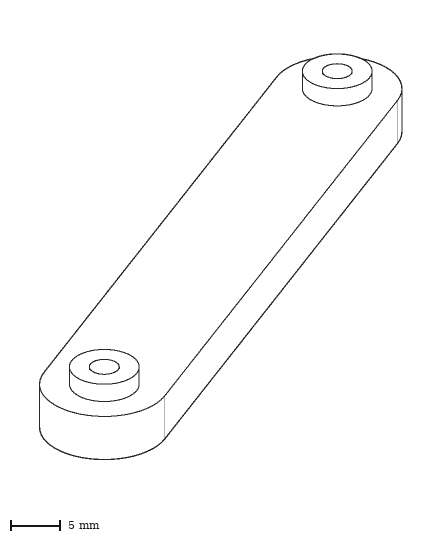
import cadquery as cq

length = 77.0
width = 13.0
plate_thickness = 5.0
boss_height = 2.0
boss_diameter = 7.0
hole_diameter = 3.0

centre_distance = length - width
total_height = plate_thickness + boss_height
boss_centres = [(0, -centre_distance / 2), (0, centre_distance / 2)]

plate = cq.Workplane("XY").slot2D(length, width, 90).extrude(plate_thickness)

bosses = (
    cq.Workplane("XY")
    .workplane(offset=plate_thickness)
    .pushPoints(boss_centres)
    .circle(boss_diameter / 2)
    .extrude(boss_height)
)

holes = (
    cq.Workplane("XY")
    .pushPoints(boss_centres)
    .circle(hole_diameter / 2)
    .extrude(total_height)
)

result = plate.union(bosses).cut(holes)